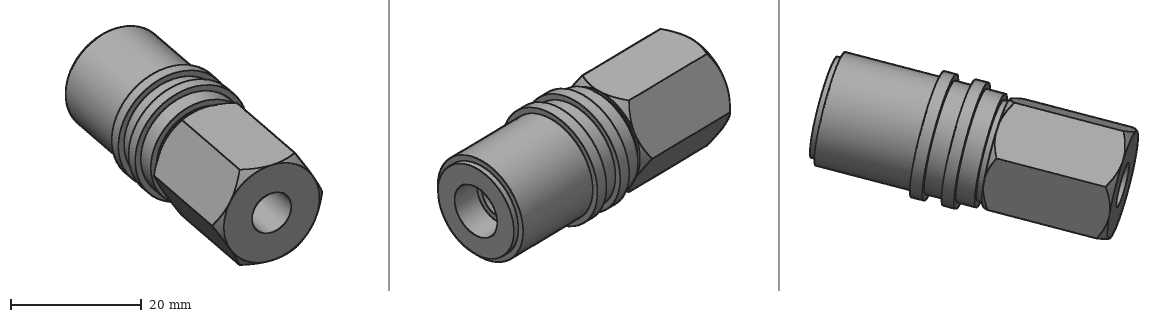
import cadquery as cq
import math

total_length = 47.5

nose_diameter = 16.0
sleeve_diameter = 18.0
collar_diameter = 20.0
nose_length = 1.0
sleeve_end = 26.5
collar_width = 2.0
collar_starts = (16.5, 21.5)

hex_start = 27.5
hex_across_flats = 17.0
hex_length = total_length - hex_start
hex_across_corners = hex_across_flats / math.cos(math.pi / 6)

entry_bore_diameter = 9.0
entry_bore_depth = 5.0
through_bore_diameter = 7.0


def cylinder(start, length, diameter):
    """Solid cylinder on the X axis, beginning at X = start."""
    return cq.Workplane("YZ", origin=(start, 0, 0)).circle(diameter / 2).extrude(length)


def round_body():
    """Nose and neck of one diameter, with the wider sleeve and two collars around them."""
    body = cylinder(0, hex_start, nose_diameter)
    body = body.union(cylinder(nose_length, sleeve_end - nose_length, sleeve_diameter))
    for start in collar_starts:
        body = body.union(cylinder(start, collar_width, collar_diameter))
    return body


def hex_end():
    """Hexagonal prism whose corners are turned off at 45 degrees at both ends."""
    prism = cq.Workplane("YZ", origin=(hex_start, 0, 0)).polygon(6, hex_across_corners).extrude(hex_length)
    corner_chamfer = (hex_across_corners - hex_across_flats) / 2
    envelope = cylinder(hex_start, hex_length, hex_across_corners)
    envelope = envelope.edges("%CIRCLE").chamfer(corner_chamfer)
    return prism.intersect(envelope)


result = round_body().union(hex_end())
result = result.cut(cylinder(0, total_length, through_bore_diameter))
result = result.cut(cylinder(0, entry_bore_depth, entry_bore_diameter))